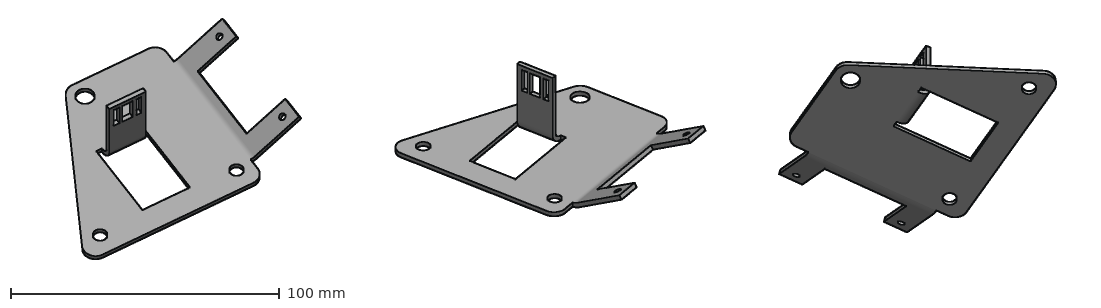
import cadquery as cq
import math

thickness = 2.0
bend_inner = 3.4
bend_outer = bend_inner + thickness

plate_width = 75.1
left_side = 41.3
right_side = left_side + plate_width / 2
corner_radius = 5.0

large_hole_diameter = 7.2
small_hole_diameter = 5.5
large_hole_center = (7.0, -36.9)
small_hole_x = 66.6
small_hole_depths = (7.1, 66.7)

window_left = 31.6
window_length = 33.0
window_height = 20.8
window_center_y = -36.6
tab_width = 16.1
tab_top = 31.0
slot_height = 9.3
slot_top = tab_top - 2.0
slots = ((2.0, 2.2), (5.8, 4.5), (11.55, 2.4))

flange_left = 10.1
flange_width = 54.9
flange_angle = 30
flange_length = 22.4
arm_width = 10.0
notch_depth = 19.5
arm_hole_diameter = 2.6
arm_hole_from_tip = 5.0


def make_plate():
    outline = [(0, 0), (plate_width, 0), (plate_width, -right_side), (0, -left_side)]
    plate = cq.Workplane("XY").polyline(outline).close().extrude(thickness)
    plate = plate.edges("|Z").fillet(corner_radius)
    window = cq.Workplane("XY").box(
        window_length, window_height, thickness, centered=(False, True, False)
    )
    plate = plate.cut(window.translate((window_left, window_center_y, 0)))
    large_hole = cq.Workplane("XY").center(*large_hole_center).circle(large_hole_diameter / 2)
    small_holes = (
        cq.Workplane("XY")
        .pushPoints([(small_hole_x, -depth) for depth in small_hole_depths])
        .circle(small_hole_diameter / 2)
    )
    return plate.cut(large_hole.extrude(thickness)).cut(small_holes.extrude(thickness))


def bent_strip(plane, angle, length, width):
    """Bend up by angle from the plane origin, followed by a straight leg; centred on the plane."""
    turn = math.radians(angle)

    def on_bend(radius, swept):
        return (radius * math.sin(swept), bend_outer - radius * math.cos(swept))

    def leg_end(radius):
        x, z = on_bend(radius, turn)
        return (x + length * math.cos(turn), z + length * math.sin(turn))

    return (
        cq.Workplane(plane)
        .moveTo(0, 0)
        .threePointArc(on_bend(bend_outer, turn / 2), on_bend(bend_outer, turn))
        .lineTo(*leg_end(bend_outer))
        .lineTo(*leg_end(bend_inner))
        .lineTo(*on_bend(bend_inner, turn))
        .threePointArc(on_bend(bend_inner, turn / 2), (0, thickness))
        .close()
        .extrude(width / 2, both=True)
    )


def make_tab():
    plane = cq.Plane((window_left, window_center_y, 0), xDir=(1, 0, 0), normal=(0, -1, 0))
    tab = bent_strip(plane, 90, tab_top - bend_outer, tab_width)
    back_edge = window_center_y + tab_width / 2
    for offset, width in slots:
        cutter = cq.Workplane("XY").box(thickness, width, slot_height, centered=False)
        position = (window_left + bend_inner, back_edge - offset - width, slot_top - slot_height)
        tab = tab.cut(cutter.translate(position))
    return tab


def make_flange():
    center_x = flange_left + flange_width / 2
    plane = cq.Plane((center_x, 0, 0), xDir=(0, 1, 0), normal=(1, 0, 0))
    flange = bent_strip(plane, flange_angle, flange_length, flange_width)

    turn = math.radians(flange_angle)
    tip_y = bend_outer * math.sin(turn) + flange_length * math.cos(turn)
    tip_z = bend_outer * (1 - math.cos(turn)) + flange_length * math.sin(turn)
    leg = cq.Plane(
        (center_x, tip_y, tip_z), xDir=(1, 0, 0), normal=(0, -math.sin(turn), math.cos(turn))
    )
    notch_width = flange_width - 2 * arm_width
    notch = cq.Workplane(leg).center(0, -notch_depth / 2).rect(notch_width, notch_depth)
    hole_x = (flange_width - arm_width) / 2
    holes = (
        cq.Workplane(leg)
        .pushPoints([(side * hole_x, -arm_hole_from_tip) for side in (-1, 1)])
        .circle(arm_hole_diameter / 2)
    )
    return flange.cut(notch.extrude(thickness)).cut(holes.extrude(thickness))


result = make_plate().union(make_tab()).union(make_flange())